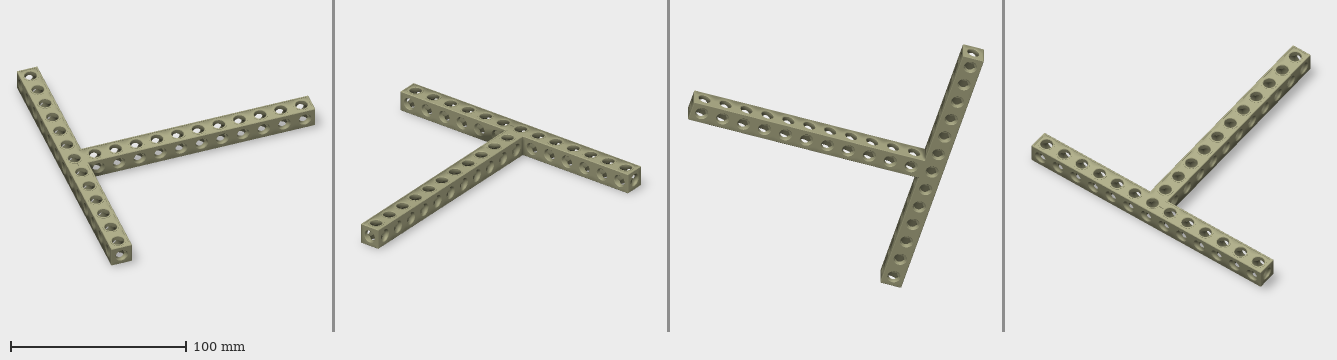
import cadquery as cq

beam_length = 162.5
bar_cells = 13
total_rows = 12
pitch = beam_length / bar_cells
hole_diameter = 7.0
collar_diameter = 9.3
rim_width = (collar_diameter - hole_diameter) / 2
recess_depth = 0.2
edge_chamfer = 0.31
groove_width = 0.5
groove_depth = 0.5

half = pitch / 2
half_length = beam_length / 2
total_depth = total_rows * pitch
stem_end = total_depth - half
recess_floor = half - recess_depth
side_columns = [side * i * pitch for side in (-1, 1) for i in range(1, bar_cells // 2 + 1)]
stem_rows = [j * pitch for j in range(1, total_rows)]
hole_centres = [(0, 0)] + [(x, 0) for x in side_columns] + [(0, y) for y in stem_rows]


def tee_prism(inset, z, height):
    """T-shaped prism starting at height z, its outline shrunk inwards by inset."""
    bar_x = half_length - inset
    bar_y = half - inset
    stem_x = half - inset
    return (
        cq.Workplane("XY", origin=(0, 0, z))
        .moveTo(-bar_x, -bar_y)
        .lineTo(bar_x, -bar_y)
        .lineTo(bar_x, bar_y)
        .lineTo(stem_x, bar_y)
        .lineTo(stem_x, stem_end - inset)
        .lineTo(-stem_x, stem_end - inset)
        .lineTo(-stem_x, bar_y)
        .lineTo(-bar_x, bar_y)
        .close()
        .extrude(height)
    )


def chamfered_body():
    """T-shaped body, chamfered everywhere but at the two upright inner corners."""
    body = tee_prism(0, -half, pitch)
    upright = cq.selectors.StringSyntaxSelector("|Z")
    inner_corners = cq.selectors.BoxSelector((-pitch, 0, -pitch), (pitch, pitch, pitch))
    outer_corners = cq.selectors.SubtractSelector(upright, inner_corners)
    return body.edges("not |Z").add(body.edges(outer_corners)).chamfer(edge_chamfer)


def top_recess():
    """Cutter for the recess: the inset T outline without the hole collars."""
    collars = (
        cq.Workplane("XY", origin=(0, 0, recess_floor))
        .pushPoints(hole_centres)
        .circle(collar_diameter / 2)
        .extrude(recess_depth)
    )
    return tee_prism(rim_width, recess_floor, recess_depth).cut(collars)


def collar_groove():
    """Cutter for the fine groove between the central collar and the next one in +X."""
    return (
        cq.Workplane("XY", origin=(half, 0, recess_floor))
        .rect(pitch - collar_diameter, groove_width)
        .extrude(-groove_depth)
    )


def chamfered_hole(length):
    """Cutter along Z, centred on the origin: a through hole flared at both ends."""
    hole_radius = hole_diameter / 2
    mouth_radius = hole_radius + edge_chamfer
    end = length / 2
    return (
        cq.Workplane("XZ")
        .moveTo(0, -end)
        .lineTo(mouth_radius, -end)
        .lineTo(hole_radius, edge_chamfer - end)
        .lineTo(hole_radius, end - edge_chamfer)
        .lineTo(mouth_radius, end)
        .lineTo(0, end)
        .close()
        .revolve(360, (0, 0, 0), (0, 1, 0))
    )


def hole_along_x(length):
    return chamfered_hole(length).rotate((0, 0, 0), (0, 1, 0), 90)


def hole_along_y(length):
    return chamfered_hole(length).rotate((0, 0, 0), (1, 0, 0), 90)


result = chamfered_body().cut(top_recess()).cut(collar_groove())

vertical_hole = chamfered_hole(pitch)
for x, y in hole_centres:
    result = result.cut(vertical_hole.translate((x, y, 0)))

bar_cross_hole = hole_along_y(pitch)
for x in side_columns:
    result = result.cut(bar_cross_hole.translate((x, 0, 0)))

stem_cross_hole = hole_along_x(pitch)
for y in stem_rows:
    result = result.cut(stem_cross_hole.translate((0, y, 0)))

result = result.cut(hole_along_x(beam_length))
stem_middle = (stem_end - half) / 2
result = result.cut(hole_along_y(total_depth).translate((0, stem_middle, 0)))